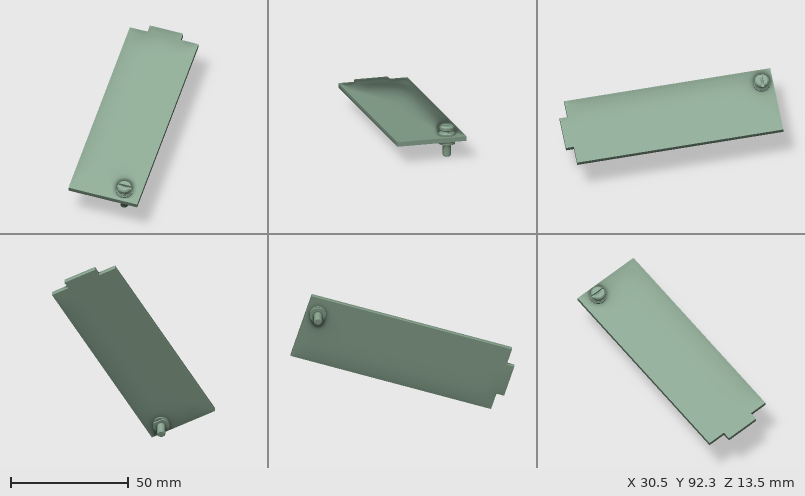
import cadquery as cq

plate_width = 30.5
plate_length = 92.3
plate_thickness = 2.0
tab_width = 14.8
tab_length = 3.4

screw_from_right_edge = 7.2
screw_x = plate_width / 2 - screw_from_right_edge
screw_y = 5.0
total_height = 13.53
head_height_above_plate = 4.1
head_top = plate_thickness + head_height_above_plate
screw_bottom = head_top - total_height
head_radius = 3.05
head_chamfer = 0.55
head_band_height = 1.75
head_band_bottom = head_top - head_band_height
groove_radius = 2.75
groove_height = 1.15
groove_bottom = head_band_bottom - groove_height
groove_middle = (head_band_bottom + groove_bottom) / 2
flange_radius = 3.5
flange_height = 0.42
flange_top = plate_thickness + flange_height
collar_radius = 3.4
collar_height = 0.7
collar_cone_height = 0.3
collar_cone_bottom = plate_thickness + collar_height
collar_cone_top = collar_cone_bottom + collar_cone_height
shank_radius = 1.75
shank_tip_chamfer = 0.4
neck_radius = 1.45

slot_width = 1.2
slot_depth = 1.1
wire_hole_diameter = 1.2

flange_thickness = 0.75
neck_length = 0.55
washer_top = -flange_thickness - neck_length
washer_thickness = 0.6
washer_radius = flange_radius
washer_bottom = washer_top - washer_thickness
washer_flat_offset = 2.8


def make_plate():
    """Flat plate with a narrower tab centred on its +Y end."""
    main_length = plate_length - tab_length
    half_width = plate_width / 2
    half_tab = tab_width / 2
    outline = [
        (-half_width, 0),
        (half_width, 0),
        (half_width, main_length),
        (half_tab, main_length),
        (half_tab, plate_length),
        (-half_tab, plate_length),
        (-half_tab, main_length),
        (-half_width, main_length),
    ]
    return cq.Workplane("XY").polyline(outline).close().extrude(plate_thickness)


def make_screw():
    """Screw of revolution about its own Z axis, with its slot and wire hole."""
    profile = (
        cq.Workplane("XZ")
        .moveTo(0, screw_bottom)
        .lineTo(shank_radius - shank_tip_chamfer, screw_bottom)
        .lineTo(shank_radius, screw_bottom + shank_tip_chamfer)
        .lineTo(shank_radius, washer_bottom)
        .lineTo(neck_radius, washer_bottom)
        .lineTo(neck_radius, -flange_thickness)
        .lineTo(flange_radius, -flange_thickness)
        .lineTo(flange_radius, flange_top)
        .lineTo(collar_radius, flange_top)
        .lineTo(collar_radius, collar_cone_bottom)
        .lineTo(head_radius, collar_cone_top)
        .lineTo(head_radius, groove_bottom)
        .threePointArc((groove_radius, groove_middle), (head_radius, head_band_bottom))
        .lineTo(head_radius, head_top - head_chamfer)
        .lineTo(head_radius - head_chamfer, head_top)
        .lineTo(0, head_top)
        .close()
    )
    screw = profile.revolve(360, (0, 0, 0), (0, 1, 0))
    slot = cq.Workplane("XY").box(3 * head_radius, slot_width, 2 * slot_depth)
    slot = slot.translate((0, 0, head_top))
    wire_hole = (
        cq.Workplane("XZ")
        .center(0, groove_middle)
        .circle(wire_hole_diameter / 2)
        .extrude(2 * head_radius, both=True)
    )
    return screw.cut(slot).cut(wire_hole)


def make_washer():
    """Retaining washer with one flat on its +Y side."""
    washer = cq.Workplane("XY").circle(washer_radius).extrude(-washer_thickness)
    cutter = cq.Workplane("XY").box(3 * washer_radius, 2 * washer_radius, 3 * washer_thickness)
    washer = washer.cut(cutter.translate((0, washer_flat_offset + washer_radius, 0)))
    return washer.translate((0, 0, washer_top))


fastener = make_screw().union(make_washer()).translate((screw_x, screw_y, 0))
result = make_plate().union(fastener)